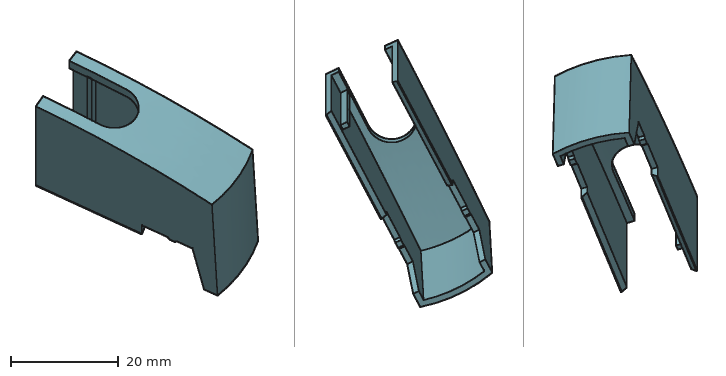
import cadquery as cq
import math

length = 40.0
width = 15.0
height = 32.05
wall = 1.2
half_width = width / 2
inner_half_width = half_width - wall

roof_end_x = 38.8
roof_end_z = 26.7
crown = 0.25
crest_x = -3.6
ceiling_start_z = 29.85
ceiling_end_z = 25.75

front_bow = 0.95
front_lean = (length - roof_end_x) / roof_end_z
ceiling_end_x = roof_end_x - wall

skirt_z = 7.95
skirt_end_x = 22.75
notch_z = 10.7
leg_top_x = 33.65
leg_bottom_x = 36.1
bump_x = 29.3
bump_top_width = 2.0
bump_bottom_width = 1.1
bump_depth = 0.5
skirt_bevel = 1.0

slot_radius = 4.8
slot_end_x = 17.0
rib_x = 3.8
rib_thickness = 1.0
rib_depth = 1.35
rib_bottom_z = 10.8

margin = 4.0


def arc_radius(half_chord, rise):
    """Radius of the arc with the given half chord and rise."""
    return (half_chord**2 + rise**2) / (2 * rise)


def crowned_space(start_z, end_x, end_z, half_span):
    """Everything below a roof arc that has a small crown across the width."""
    chord_term = (end_x - crest_x) ** 2 - crest_x**2 + end_z**2 - start_z**2
    center_z = chord_term / (2 * (end_z - start_z))
    crest_z = center_z + math.hypot(crest_x, start_z - center_z)
    edge_z = crest_z + math.sqrt(crown_radius**2 - half_span**2) - crown_radius
    floor_z = -margin
    section = (
        cq.Workplane("YZ", origin=(crest_x, 0, 0))
        .moveTo(-half_span, floor_z)
        .lineTo(-half_span, edge_z)
        .threePointArc((0, crest_z), (half_span, edge_z))
        .lineTo(half_span, floor_z)
        .close()
    )
    sweep_angle = 60
    disc = section.revolve(sweep_angle, (-0.4, center_z), (0.4, center_z))
    return disc.rotate((crest_x, 0, center_z), (crest_x, 1, center_z), -sweep_angle / 2)


def leaning_block(nose_x, half_span, bow_radius):
    """Block whose bowed +X face leans back as it rises."""
    def outline(z):
        tip_x = nose_x - front_lean * z
        edge_x = tip_x - bow_radius + math.sqrt(bow_radius**2 - half_span**2)
        return (
            cq.Workplane("XY", origin=(0, 0, z))
            .moveTo(0, -half_span)
            .lineTo(edge_x, -half_span)
            .threePointArc((tip_x, 0), (edge_x, half_span))
            .lineTo(0, half_span)
            .close()
            .wires()
            .val()
        )

    return cq.Workplane(cq.Solid.makeLoft([outline(0), outline(height + margin)], True))


crown_radius = arc_radius(half_width, crown)
bow_radius = arc_radius(half_width, front_bow)
slot_edge_drop = crown_radius - math.sqrt(crown_radius**2 - slot_radius**2)
roof_start_z = height + slot_edge_drop


def outer_body():
    roof = crowned_space(roof_start_z, roof_end_x, roof_end_z, half_width)
    return leaning_block(length, half_width, bow_radius).intersect(roof)


def cavity():
    ceiling = crowned_space(ceiling_start_z, ceiling_end_x, ceiling_end_z, inner_half_width)
    block = leaning_block(length - wall, inner_half_width, bow_radius - wall)
    return block.intersect(ceiling)


def rib(inner_space):
    """Upright rib on the +Y wall, reaching up to the ceiling."""
    bar = cq.Workplane("XY").box(rib_thickness, rib_depth, height, centered=False)
    bar = bar.translate((rib_x, inner_half_width - rib_depth, rib_bottom_z))
    return bar.intersect(inner_space)


def side_cutout():
    """Space below the skirt, the bumped notch and the sloping leg, across the full width."""
    return (
        cq.Workplane("XZ")
        .moveTo(-margin, 0)
        .lineTo(-margin, skirt_z)
        .lineTo(skirt_end_x, skirt_z)
        .lineTo(skirt_end_x, notch_z)
        .lineTo(bump_x - bump_top_width / 2, notch_z)
        .lineTo(bump_x - bump_bottom_width / 2, notch_z - bump_depth)
        .lineTo(bump_x + bump_bottom_width / 2, notch_z - bump_depth)
        .lineTo(bump_x + bump_top_width / 2, notch_z)
        .lineTo(leg_top_x, notch_z)
        .lineTo(leg_bottom_x, 0)
        .close()
        .extrude(half_width + margin, both=True)
    )


def skirt_bevels():
    """Wedges along the inner bottom edges of both skirts."""
    wedge = (
        cq.Workplane("YZ")
        .moveTo(inner_half_width, skirt_z)
        .lineTo(inner_half_width + skirt_bevel, skirt_z)
        .lineTo(inner_half_width, skirt_z + skirt_bevel)
        .close()
        .extrude(skirt_end_x)
    )
    return wedge.union(wedge.mirror("XZ"))


def roof_slot():
    center_x = slot_end_x - slot_radius
    straight = cq.Workplane("XY").box(center_x, 2 * slot_radius, height + margin, centered=(False, True, False))
    return straight.union(cq.Workplane("XY").center(center_x, 0).circle(slot_radius).extrude(height + margin))


inner_space = cavity()
result = outer_body().cut(inner_space).cut(roof_slot())
result = result.union(rib(inner_space)).cut(side_cutout()).cut(skirt_bevels())